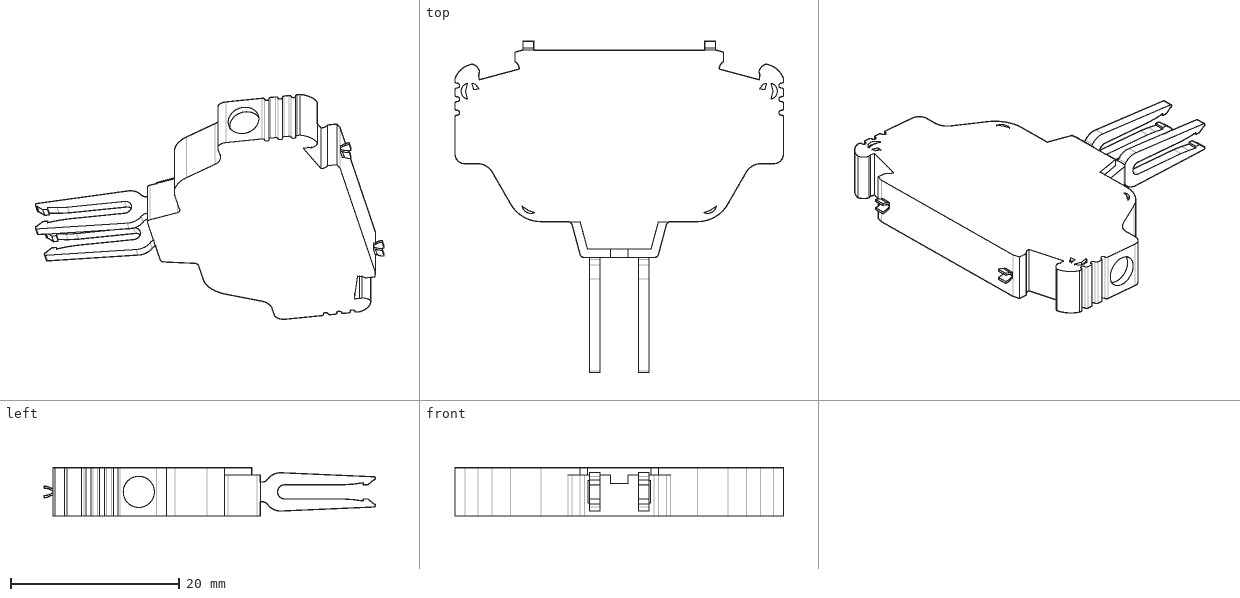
import cadquery as cq
import math

HALF_WIDTH = 19.55
HEIGHT = 5.8
MID_Z = HEIGHT / 2
BACK_Y = 20.4

WING_FRONT_Y = 6.9
WING_CORNER_RADIUS = 1.2
FLANK_ANGLE = 60.0
FLANK_FOOT_X = 11.7
FLANK_INNER_RADIUS = 1.97
FLANK_OUTER_RADIUS = 4.18
GRIP_HEAD_Y = 17.03
SHOULDER_X = 16.65
SHOULDER_Y = 16.9
SHOULDER_ANGLE = 15.0
NECK_X = 11.9
RAIL_X = 12.4
RAIL_FRONT_Y = 19.05
RAIL_SIDE_END_Y = 20.18
RAIL_BACK_X = 11.55

GROOVE_COUNT = 3
GROOVE_PITCH = 1.6
FIRST_GROOVE_Y = 16.2
GROOVE_RADIUS = 0.28
GROOVE_LIP_RADIUS = 0.25
GROOVE_DEPTH = 0.55
GROOVE_HALF_OPENING = 0.5

FOOT_LENGTH = 4.25
FOOT_HALF_WIDTH = 5.7
FOOT_OVERLAP = 0.4
FOOT_ANGLE = 15.0
FOOT_HEIGHT = 4.93
FOOT_CORNER_RADIUS = 0.55
FOOT_ROOT_RADIUS = 0.5
PLATE_LENGTH = 3.25
PLATE_HALF_WIDTH = 4.65
NOTCH_WIDTH = 2.13
NOTCH_FLOOR_Z = 3.9

PIN_CENTER_X = 2.9
PIN_WIDTH = 1.25
PIN_TIP_Y = -17.95
PIN_ROOT_HALF = 1.2
PIN_ROOT_INSET = 1.2
FORK_HALF = 2.3
SLOT_END_Y = -6.3
SLOT_HALF = 0.83
SOCKET_CLEARANCE = 0.15
SOCKET_DEPTH = 0.4

TAB_CENTER_X = 10.8
TAB_WIDTH = 1.3
TAB_TIP_Y = 21.48
TAB_INSET = 0.2

SIDE_HOLE_Y = 10.2
SIDE_HOLE_DIAMETER = 3.7
SIDE_HOLE_DEPTH = 1.0

RECESS_DEPTH = 0.4


def both_sides(shape):
    """Join a shape with its mirror image across the symmetry plane."""
    return shape.union(shape.mirror("YZ"))


def grooved_side(outline):
    """Run up the grooved grip from its frontmost groove to the base of the grip head."""
    lip_center_x = HALF_WIDTH - GROOVE_LIP_RADIUS
    groove_center_x = HALF_WIDTH - GROOVE_DEPTH + GROOVE_RADIUS
    share = GROOVE_LIP_RADIUS / (GROOVE_LIP_RADIUS + GROOVE_RADIUS)
    meet_x = lip_center_x + share * (groove_center_x - lip_center_x)
    meet_half = GROOVE_HALF_OPENING * (1 - share)
    for index in reversed(range(GROOVE_COUNT)):
        y = FIRST_GROOVE_Y - index * GROOVE_PITCH
        outline = (
            outline.lineTo(HALF_WIDTH, y - GROOVE_HALF_OPENING)
            .tangentArcPoint((meet_x, y - meet_half), relative=False)
            .threePointArc((HALF_WIDTH - GROOVE_DEPTH, y), (meet_x, y + meet_half))
            .tangentArcPoint((HALF_WIDTH, y + GROOVE_HALF_OPENING), relative=False)
        )
    return outline


def make_body():
    """Flat housing with a symmetric outline, modelled as one half and mirrored."""
    flank_run = WING_FRONT_Y / math.tan(math.radians(FLANK_ANGLE))
    flank_top_x = FLANK_FOOT_X + flank_run
    neck_y = SHOULDER_Y + (SHOULDER_X - NECK_X) * math.tan(math.radians(SHOULDER_ANGLE))

    outline = (
        cq.Workplane("XY")
        .moveTo(0, 0)
        .lineTo(FLANK_FOOT_X, 0)
        .lineTo(flank_top_x, WING_FRONT_Y)
        .lineTo(HALF_WIDTH, WING_FRONT_Y)
    )
    outline = (
        grooved_side(outline)
        .lineTo(HALF_WIDTH, GRIP_HEAD_Y)
        .threePointArc((18.88, 18.05), (17.45, 18.75))
        .threePointArc((17.2, 18.65), (16.6, 17.85))
        .lineTo(16.7, 17.5)
        .lineTo(SHOULDER_X, SHOULDER_Y)
        .lineTo(NECK_X, neck_y)
        .threePointArc((12.02, 18.65), (RAIL_X, RAIL_FRONT_Y))
        .lineTo(RAIL_X, RAIL_SIDE_END_Y)
        .lineTo(RAIL_BACK_X, BACK_Y)
        .lineTo(0, BACK_Y)
        .close()
    )
    half = outline.extrude(HEIGHT)

    rounded_edges = (
        (FLANK_FOOT_X, 0, FLANK_OUTER_RADIUS),
        (flank_top_x, WING_FRONT_Y, FLANK_INNER_RADIUS),
        (HALF_WIDTH, WING_FRONT_Y, WING_CORNER_RADIUS),
    )
    for x, y, radius in rounded_edges:
        half = half.edges(cq.NearestToPointSelector((x, y, MID_Z))).fillet(radius)
    return both_sides(half)


def tapered_block(half_width, length, height):
    """Block in front of the body, narrowing at the foot angle and overlapping the body behind it."""
    end_half = half_width - length * math.tan(math.radians(FOOT_ANGLE))
    corners = [
        (-half_width, FOOT_OVERLAP), (-half_width, 0), (-end_half, -length),
        (end_half, -length), (half_width, 0), (half_width, FOOT_OVERLAP),
    ]
    return cq.Workplane("XY").polyline(corners).close().extrude(height)


def add_foot(body):
    """Plug foot in front of the body, with a raised plate and a notch in its front rim."""
    foot = tapered_block(FOOT_HALF_WIDTH, FOOT_LENGTH, FOOT_HEIGHT)
    foot = foot.edges("|Z").edges("<Y").fillet(FOOT_CORNER_RADIUS)
    notch = cq.Workplane("XY").box(
        NOTCH_WIDTH, FOOT_LENGTH, HEIGHT, centered=(True, False, False)
    ).translate((0, -FOOT_LENGTH, NOTCH_FLOOR_Z))
    plate = tapered_block(PLATE_HALF_WIDTH, PLATE_LENGTH, HEIGHT)
    body = body.union(foot.cut(notch)).union(plate)
    for side in (-1, 1):
        root = cq.NearestToPointSelector((side * FOOT_HALF_WIDTH, 0, FOOT_HEIGHT / 2))
        body = body.edges(root).fillet(FOOT_ROOT_RADIUS)
    return body


def cut_pin_sockets(body):
    """Shallow recesses around the pin roots, with clearance on the outer side, above and below."""
    socket = cq.Workplane("XY").box(
        PIN_WIDTH + SOCKET_CLEARANCE, SOCKET_DEPTH, 2 * (PIN_ROOT_HALF + SOCKET_CLEARANCE),
        centered=(True, False, True),
    ).translate((PIN_CENTER_X + SOCKET_CLEARANCE / 2, -FOOT_LENGTH, MID_Z))
    return body.cut(both_sides(socket))


def make_pins():
    """Two fork-shaped flat pins, each symmetric about the middle height."""
    prong = (
        cq.Workplane("YZ")
        .moveTo(PIN_ROOT_INSET - FOOT_LENGTH, 0)
        .lineTo(PIN_ROOT_INSET - FOOT_LENGTH, PIN_ROOT_HALF)
        .lineTo(-4.45, PIN_ROOT_HALF)
        .tangentArcPoint((-5.12, 1.55), relative=False)
        .threePointArc((-5.8, 2.1), (-6.8, FORK_HALF))
        .lineTo(-17.75, 1.8)
        .threePointArc((PIN_TIP_Y, 1.6), (-17.75, 1.4))
        .lineTo(-17.03, 0.83)
        .lineTo(-16.47, 0.83)
        .lineTo(-16.47, 1.05)
        .lineTo(-15.3, 0.9)
        .lineTo(-14.03, SLOT_HALF)
        .lineTo(SLOT_END_Y - SLOT_HALF, SLOT_HALF)
        .tangentArcPoint((SLOT_END_Y, 0), relative=False)
        .close()
        .extrude(PIN_WIDTH)
    )
    pin = prong.union(prong.mirror("XY"))
    return both_sides(pin.translate((PIN_CENTER_X - PIN_WIDTH / 2, 0, MID_Z)))


def make_tabs():
    """Back contact tabs: two thin leaves that spread apart away from the body."""
    leaf = (
        cq.Workplane("YZ")
        .moveTo(BACK_Y - TAB_INSET, 0.05)
        .lineTo(BACK_Y, 0.08)
        .threePointArc((20.95, 0.35), (TAB_TIP_Y, 0.45))
        .lineTo(TAB_TIP_Y, 0.7)
        .threePointArc((21.05, 0.65), (20.65, 0.45))
        .lineTo(BACK_Y - TAB_INSET, 0.45)
        .close()
        .extrude(TAB_WIDTH)
    )
    tab = leaf.union(leaf.mirror("XY"))
    return both_sides(tab.translate((TAB_CENTER_X - TAB_WIDTH / 2, 0, MID_Z)))


def cut_side_holes(body):
    """Blind round socket in each end face of the body."""
    hole = (
        cq.Workplane("YZ", origin=(HALF_WIDTH - SIDE_HOLE_DEPTH, SIDE_HOLE_Y, MID_Z))
        .circle(SIDE_HOLE_DIAMETER / 2)
        .extrude(SIDE_HOLE_DEPTH)
    )
    return body.cut(both_sides(hole))


def cut_top_recesses(body):
    """Small crescent and triangular recesses near the corners of the top face."""
    top = cq.Workplane("XY", origin=(0, 0, HEIGHT - RECESS_DEPTH))
    grip_crescent = (
        top.moveTo(18.05, 16.47)
        .threePointArc((18.8, 15.53), (18.05, 14.6))
        .lineTo(18.3, 15.53)
        .close()
        .extrude(RECESS_DEPTH)
    )
    grip_triangle = (
        top.polyline([(17.55, 16.47), (17.1, 16.35), (16.67, 15.8), (17.3, 15.72)])
        .close()
        .extrude(RECESS_DEPTH)
    )
    front_crescent = (
        top.moveTo(11.55, 1.85)
        .threePointArc((11.05, 1.15), (10.05, 1.1))
        .lineTo(10.8, 1.35)
        .close()
        .extrude(RECESS_DEPTH)
    )
    for recess in (grip_crescent, grip_triangle, front_crescent):
        body = body.cut(both_sides(recess))
    return body


result = make_body()
result = add_foot(result)
result = cut_pin_sockets(result)
result = result.union(make_pins()).union(make_tabs())
result = cut_side_holes(result)
result = cut_top_recesses(result)